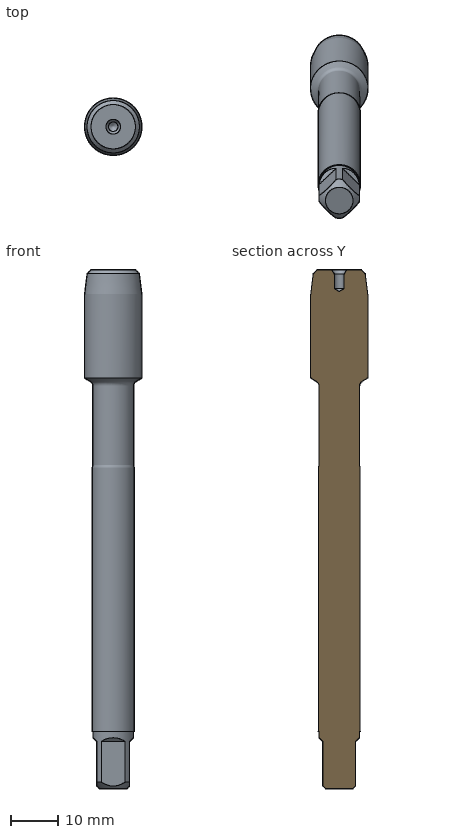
import cadquery as cq
import math

total_length = 110.0

head_diameter = 12.2
head_length = 23.0
lead_length = 5.25
lead_diameter = 11.1
tip_diameter = 9.4
tip_chamfer_height = 0.85

neck_diameter = 8.7
neck_fillet_radius = 1.0
shoulder_cone_angle = 120.0
neck_end_depth = 41.5
shank_diameter = 9.0
shank_chamfer_height = 0.5

drive_diameter = 8.64
drive_across_flats = 7.0
flat_count = 4
drive_length = 12.1
flat_length = 10.0
drive_end_chamfer = 1.4

center_hole_diameter = 2.0
center_hole_depth = 4.0
countersink_diameter = 3.1
countersink_angle = 60.0
drill_point_angle = 120.0


def cone_height(large_diameter, small_diameter, included_angle):
    """Axial length of a cone between two diameters."""
    return (large_diameter - small_diameter) / 2 / math.tan(math.radians(included_angle / 2))


def revolve_profile(stations):
    """Solid of revolution about Z through (diameter, height) stations, closed along the axis."""
    bottom_height = stations[0][1]
    top_height = stations[-1][1]
    outline = [(diameter / 2, height) for diameter, height in stations]
    outline.append((0, top_height))
    if stations[0][0] > 0:
        outline.append((0, bottom_height))
    return cq.Workplane("XZ").polyline(outline).close().revolve(360, (0, 0, 0), (0, 1, 0))


def make_body():
    """Turned outline of the drive end, shank, neck and head, from bottom to top."""
    head_bottom = total_length - head_length
    neck_bottom = total_length - neck_end_depth
    shoulder_bottom = head_bottom - cone_height(head_diameter, neck_diameter, shoulder_cone_angle)
    turned = revolve_profile([
        (drive_diameter - 2 * drive_end_chamfer, 0),
        (drive_diameter, drive_end_chamfer),
        (drive_diameter, drive_length),
        (shank_diameter, drive_length),
        (shank_diameter, neck_bottom - shank_chamfer_height),
        (neck_diameter, neck_bottom),
        (neck_diameter, shoulder_bottom),
        (head_diameter, head_bottom),
        (head_diameter, total_length - lead_length),
        (lead_diameter, total_length - tip_chamfer_height),
        (tip_diameter, total_length),
    ])
    selection_margin = 0.01
    neck_corner = cq.selectors.BoxSelector(
        (-head_diameter, -head_diameter, shoulder_bottom - selection_margin),
        (head_diameter, head_diameter, shoulder_bottom + selection_margin),
    )
    return turned.edges(neck_corner).fillet(neck_fillet_radius)


def make_flat_cutter():
    """Material removed for one drive flat on +X, with a 45 degree run-out at its upper end."""
    flat_offset = drive_across_flats / 2
    cutter_reach = shank_diameter / 2
    runout_height = cutter_reach - flat_offset
    return (
        cq.Workplane("XZ")
        .moveTo(flat_offset, 0)
        .lineTo(cutter_reach, 0)
        .lineTo(cutter_reach, flat_length + runout_height)
        .lineTo(flat_offset, flat_length)
        .close()
        .extrude(shank_diameter / 2, both=True)
    )


def make_center_hole():
    """Countersunk blind hole with a conical drill point, entering from the tip face."""
    countersink_depth = cone_height(countersink_diameter, center_hole_diameter, countersink_angle)
    point_height = cone_height(center_hole_diameter, 0, drill_point_angle)
    hole_bottom = total_length - center_hole_depth
    return revolve_profile([
        (0, hole_bottom - point_height),
        (center_hole_diameter, hole_bottom),
        (center_hole_diameter, total_length - countersink_depth),
        (countersink_diameter, total_length),
    ])


body = make_body()
for index in range(flat_count):
    turn = index * 360 / flat_count
    body = body.cut(make_flat_cutter().rotate((0, 0, 0), (0, 0, 1), turn))

result = body.cut(make_center_hole())